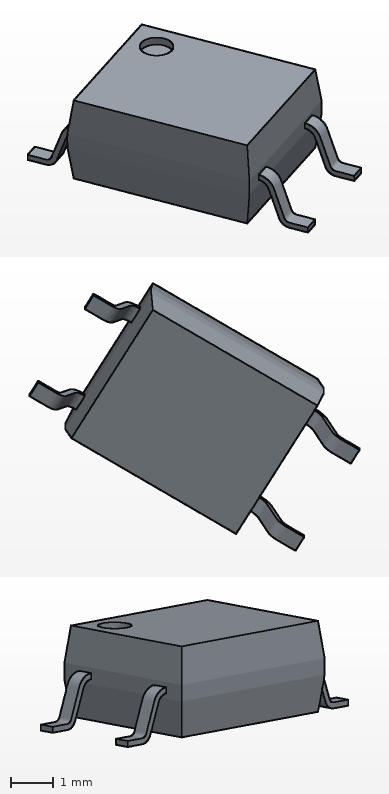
import cadquery as cq
import math

span_x = 7.4
housing_x = 4.8
housing_y = 3.95
housing_z = 2.205
standoff = 0.095
band_z = 0.4
draft_inset = 0.11
half_z = (housing_z - band_z) / 2
band_bottom = standoff + half_z
housing_top = standoff + housing_z

marker_diameter = 0.8
marker_depth = 0.2
marker_x = -1.55
marker_y = 1.13

lead_thickness = 0.15
lead_width = 0.4
lead_pitch = 2.53
lead_angle = math.radians(70)
foot_bend_inner = 0.15
foot_bend_outer = foot_bend_inner + lead_thickness
shoulder_inner = 0.28
shoulder_outer = shoulder_inner + lead_thickness
lead_top = standoff + (housing_z + lead_thickness) / 2


def make_housing():
    """Straight band with a tapered half above and below, and the recess."""
    taper = math.degrees(math.atan(draft_inset / half_z))
    band = cq.Workplane("XY", origin=(0, 0, band_bottom)).rect(housing_x, housing_y).extrude(band_z)
    upper = band.faces(">Z").workplane().rect(housing_x, housing_y).extrude(half_z, taper=taper, combine=False)
    lower = band.faces("<Z").workplane().rect(housing_x, housing_y).extrude(half_z, taper=taper, combine=False)
    recess = (
        cq.Workplane("XY", origin=(marker_x, marker_y, housing_top))
        .circle(marker_diameter / 2)
        .extrude(-marker_depth)
    )
    return band.union(upper, clean=False).union(lower, clean=False).cut(recess).solids()


def make_lead(center_y):
    """Lead on the -X side, ending flush against the housing wall."""
    tip_x = -span_x / 2
    wall_x = -housing_x / 2
    shoulder_z = lead_top - shoulder_outer

    bend_reach = shoulder_inner + foot_bend_outer
    bend_rise = shoulder_z - foot_bend_outer
    leg_length = (bend_rise + bend_reach * math.cos(lead_angle)) / math.sin(lead_angle)
    bend_run = bend_reach * math.sin(lead_angle) + leg_length * math.cos(lead_angle)
    foot_x = wall_x - bend_run

    def shoulder_point(radius, angle):
        return (wall_x - radius * math.sin(angle), shoulder_z + radius * math.cos(angle))

    def foot_point(radius, angle):
        return (foot_x + radius * math.sin(angle), foot_bend_outer - radius * math.cos(angle))

    half_angle = lead_angle / 2
    return (
        cq.Workplane("XZ", origin=(0, center_y, 0))
        .moveTo(tip_x, 0)
        .lineTo(foot_x, 0)
        .threePointArc(foot_point(foot_bend_outer, half_angle), foot_point(foot_bend_outer, lead_angle))
        .lineTo(*shoulder_point(shoulder_inner, lead_angle))
        .threePointArc(shoulder_point(shoulder_inner, half_angle), shoulder_point(shoulder_inner, 0))
        .lineTo(wall_x, lead_top)
        .threePointArc(shoulder_point(shoulder_outer, half_angle), shoulder_point(shoulder_outer, lead_angle))
        .lineTo(*foot_point(foot_bend_inner, lead_angle))
        .threePointArc(foot_point(foot_bend_inner, half_angle), foot_point(foot_bend_inner, 0))
        .lineTo(tip_x, lead_thickness)
        .close()
        .extrude(lead_width / 2, both=True)
    )


housing = make_housing()

leads = []
for center_y in (-lead_pitch / 2, lead_pitch / 2):
    left_lead = make_lead(center_y)
    right_lead = left_lead.mirror("YZ")
    leads.append(left_lead.val())
    leads.append(right_lead.val())

result = cq.Compound.makeCompound([housing.val(), *leads])